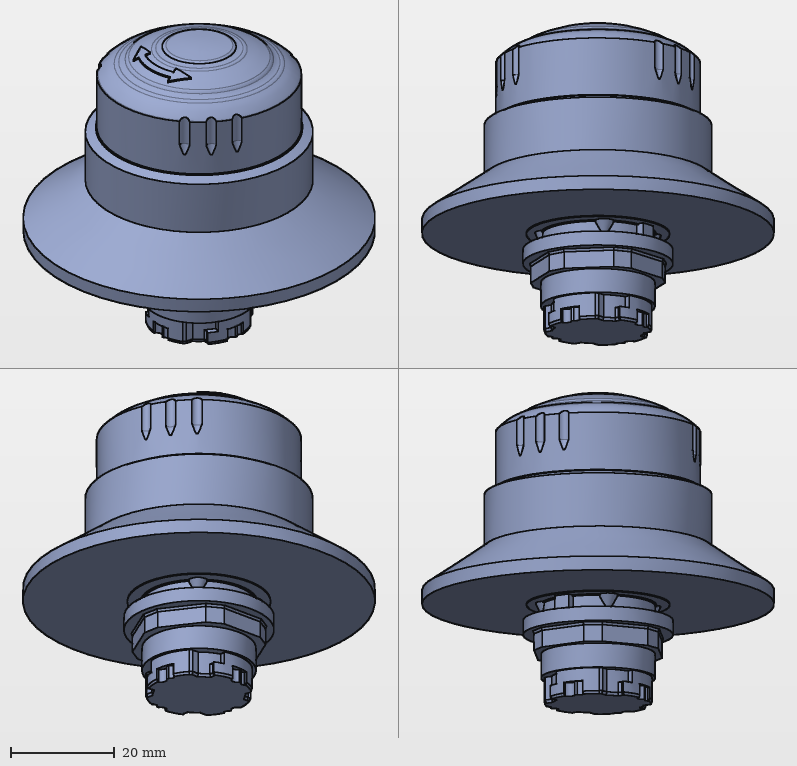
import cadquery as cq
import math

total_height = 60.4

body_radius = 11.0
socket_radius = 20.9 / 2
socket_top = 5.1
socket_chamfer_width = 0.2
socket_chamfer_height = 0.55

nut_bottom = 9.8
nut_flare_bottom = 13.05
washer_bottom = 13.6
washer_top = 16.4
washer_radius = 14.5
nut_half_flats = 12.05
nut_half_corners = 12.85
nut_flare = 0.2

rim_bottom = 19.25
rim_radius = 11.3
pad_bottom = 19.45
pad_radius = 27.7 / 2

skirt_bottom = 19.65
skirt_edge_top = 22.4
skirt_radius = 34.0
collar_radius = 44.0 / 2
collar_bottom = 30.7
collar_edge_top = 41.15
collar_top = 42.0
collar_inner_radius = 20.0
collar_lip_top = 42.2

cap_radius = 39.6 / 2
cap_top = 53.5
crown_edge = (19.6, 53.65)
outer_step_start = (16.45, 55.95)
outer_step_rim = (15.6, 56.3)
outer_step_foot = (14.35, 56.9)
outer_step_end = (13.7, 57.45)
inner_step_start = (9.25, 59.15)
inner_step_rim = (8.4, 59.35)
inner_step_foot = (7.15, 59.65)
inner_step_end = (6.45, 60.0)
crown_bulge = 0.2
dome_radius = 32.3
edge_bulge = 0.055

grip_radius = 1.1
grip_center_radius = 20.2
grip_bottom = 48.5
grip_tip = 45.0
grip_group_angles = (90, 210, 330)
grip_pitch = 15

arrow_raise = 0.3
arrow_shaft_inner = 10.6
arrow_shaft_outer = 11.9
arrow_head_inner = 9.6
arrow_head_outer = 13.0
arrow_tip_radius = 11.35
arrow_base_angle = 25.2
arrow_tip_angle = 45.6

lug_count = 4
lug_start_angle = 45
lug_axis_radius = 10.2
lug_tip_radius = 0.8
lug_top_radius = 2.05
lug_bottom = 16.7
key_width = 3.25
key_reach = 12.4

quarter_turns = (0, 90, 180, 270)
slot_floor_radius = 9.1
slot_lead_wall = -6.45
slot_lead_bevel = (-7.9, slot_lead_wall)
slot_lead_mouth = (-9.0, -5.8)
slot_stop_wall = -4.6
slot_stop_bevel = (slot_stop_wall, -8.7)
slot_stop_mouth = (-5.4, -10.35)
slot_end_angle = 16.2
slot_reach = 12.9
slot_reach_angle = -30.6
slot_flare_width = 0.2
slot_flare_height = 0.6
slot_step_height = 2.65
key_hole_floor_radius = 10.0
key_hole_angles = (-4.9, 17.8)
key_hole_grooves = ((1.4, 1.15), (13.8, 0.75))


def polar(radius, angle):
    """Point at an angle measured from -Y, counter-clockwise seen from above."""
    turn = math.radians(angle - 90)
    return (radius * math.cos(turn), radius * math.sin(turn))


def bulged_point(start, end, bulge):
    """Midpoint of a chord pushed to its outer side (right of travel when positive)."""
    run = end[0] - start[0]
    rise = end[1] - start[1]
    chord = math.hypot(run, rise)
    return (
        (start[0] + end[0]) / 2 + bulge * rise / chord,
        (start[1] + end[1]) / 2 - bulge * run / chord,
    )


def make_turned_body():
    dome_rise = dome_radius - math.sqrt(
        dome_radius**2 - (math.dist(outer_step_end, inner_step_start) / 2) ** 2
    )
    profile = (
        cq.Workplane("XZ")
        .lineTo(socket_radius - socket_chamfer_width, 0)
        .lineTo(socket_radius, socket_chamfer_height)
        .lineTo(socket_radius, socket_top)
        .lineTo(body_radius, socket_top)
        .lineTo(body_radius, washer_bottom)
        .lineTo(washer_radius, washer_bottom)
        .lineTo(washer_radius, washer_top)
        .lineTo(body_radius, washer_top)
        .lineTo(body_radius, rim_bottom)
        .lineTo(rim_radius, rim_bottom)
        .lineTo(rim_radius, pad_bottom)
        .lineTo(pad_radius, pad_bottom)
        .lineTo(pad_radius, skirt_bottom)
        .lineTo(skirt_radius, skirt_bottom)
        .lineTo(skirt_radius, skirt_edge_top)
        .lineTo(collar_radius, collar_bottom)
        .lineTo(collar_radius, collar_edge_top)
        .lineTo(collar_inner_radius, collar_top)
        .lineTo(cap_radius, collar_lip_top)
        .lineTo(cap_radius, cap_top)
        .lineTo(*crown_edge)
    )
    bands = (
        (outer_step_start, crown_bulge),
        (outer_step_rim, edge_bulge),
        (outer_step_foot, -edge_bulge),
        (outer_step_end, edge_bulge),
        (inner_step_start, dome_rise),
        (inner_step_rim, edge_bulge),
        (inner_step_foot, -edge_bulge),
        (inner_step_end, edge_bulge),
    )
    start = crown_edge
    for end, bulge in bands:
        profile = profile.threePointArc(bulged_point(start, end, bulge), end)
        start = end
    sagitta = total_height - inner_step_end[1]
    sphere = (inner_step_end[0] ** 2 + sagitta**2) / (2 * sagitta)
    middle = inner_step_end[0] / 2
    middle_height = total_height - sphere + math.sqrt(sphere**2 - middle**2)
    profile = profile.threePointArc((middle, middle_height), (0, total_height))
    return profile.close().revolve(360, (0, 0, 0), (0, 1, 0))


def nut_prism(bottom, top, taper=0):
    """Hexagon with flats facing Y and its six corners cut flat."""
    corner_radius = nut_half_flats / math.cos(math.radians(30))
    half_cut = (corner_radius - nut_half_corners) * math.tan(math.radians(60))
    points = []
    for index in range(6):
        turn = math.radians(60 * index)
        for side in (-half_cut, half_cut):
            points.append((
                nut_half_corners * math.cos(turn) - side * math.sin(turn),
                nut_half_corners * math.sin(turn) + side * math.cos(turn),
            ))
    base = cq.Workplane("XY", origin=(0, 0, bottom))
    return base.polyline(points).close().extrude(top - bottom, taper=taper)


def make_nut():
    flare_height = washer_bottom - nut_flare_bottom
    flare_taper = -math.degrees(math.atan(nut_flare / flare_height))
    straight = nut_prism(nut_bottom, nut_flare_bottom)
    flare = nut_prism(nut_flare_bottom, washer_bottom, flare_taper)
    return straight.union(flare)


def make_lugs():
    lug = cq.Solid.makeCone(lug_tip_radius, lug_top_radius, pad_bottom - lug_bottom)
    lugs = cq.Workplane("XY")
    for index in range(lug_count):
        x, y = polar(lug_axis_radius, lug_start_angle + index * 360 / lug_count)
        lugs = lugs.add(lug.translate(cq.Vector(x, y, lug_bottom)))
    return lugs.combine()


def make_key():
    base = cq.Workplane("XY", origin=(0, 0, lug_bottom)).center(0, key_reach / 2)
    return base.rect(key_width, key_reach).extrude(pad_bottom - lug_bottom)


def make_grips():
    groove = cq.Solid.makeCylinder(grip_radius, total_height - grip_bottom, cq.Vector(0, 0, grip_bottom))
    tip = cq.Solid.makeCone(0, grip_radius, grip_bottom - grip_tip, cq.Vector(0, 0, grip_tip))
    grip = groove.fuse(tip).translate(cq.Vector(grip_center_radius, 0, 0))
    grips = cq.Workplane("XY")
    for group in grip_group_angles:
        for step in (-1, 0, 1):
            grips = grips.add(grip.rotate(cq.Vector(), cq.Vector(0, 0, 1), group + step * grip_pitch))
    return grips.combine()


def make_arrow():
    base = arrow_base_angle
    tip = arrow_tip_angle
    outline = (
        cq.Workplane("XY", origin=(0, 0, cap_top))
        .moveTo(*polar(arrow_shaft_inner, -base))
        .threePointArc(polar(arrow_shaft_inner, 0), polar(arrow_shaft_inner, base))
        .lineTo(*polar(arrow_head_inner, base))
        .lineTo(*polar(arrow_tip_radius, tip))
        .lineTo(*polar(arrow_head_outer, base))
        .lineTo(*polar(arrow_shaft_outer, base))
        .threePointArc(polar(arrow_shaft_outer, 0), polar(arrow_shaft_outer, -base))
        .lineTo(*polar(arrow_head_outer, -base))
        .lineTo(*polar(arrow_tip_radius, -tip))
        .lineTo(*polar(arrow_head_inner, -base))
        .close()
        .extrude(total_height - cap_top)
    )
    edge_radius, edge_height = inner_step_start
    center_height = edge_height - math.sqrt(dome_radius**2 - edge_radius**2)
    dome = cq.Workplane("XY", origin=(0, 0, center_height)).sphere(dome_radius + arrow_raise)
    return outline.intersect(dome)


def sector(start_angle, end_angle, inner, outer, height):
    middle = (start_angle + end_angle) / 2
    return (
        cq.Workplane("XY")
        .moveTo(*polar(inner, start_angle))
        .lineTo(*polar(outer, start_angle))
        .threePointArc(polar(outer, middle), polar(outer, end_angle))
        .lineTo(*polar(inner, end_angle))
        .threePointArc(polar(inner, middle), polar(inner, start_angle))
        .close()
        .extrude(height)
    )


def slot_outline(height, floor_end, mouth_points):
    """Closed slot outline: curved floor from the leading wall, then out to the mouth."""
    floor_start = (-math.sqrt(slot_floor_radius**2 - slot_lead_wall**2), slot_lead_wall)
    span = math.dist(floor_start, floor_end)
    sagitta = slot_floor_radius - math.sqrt(slot_floor_radius**2 - (span / 2) ** 2)
    outline = (
        cq.Workplane("XY", origin=(0, 0, height))
        .moveTo(*floor_start)
        .threePointArc(bulged_point(floor_start, floor_end, sagitta), floor_end)
    )
    for point in mouth_points:
        outline = outline.lineTo(*point)
    return outline.lineTo(*slot_lead_mouth).lineTo(*slot_lead_bevel).close()


def make_bayonet_slot():
    """Slot open at the bottom, with a wider chamber above the step."""
    corner = polar(slot_reach, slot_reach_angle)
    stop_floor = (slot_stop_wall, -math.sqrt(slot_floor_radius**2 - slot_stop_wall**2))
    stop_mouth = (slot_stop_bevel, slot_stop_mouth, corner)
    end_mouth = (polar(body_radius, -slot_end_angle), corner)
    lower = slot_outline(0, stop_floor, stop_mouth).extrude(slot_step_height)
    end_floor = polar(slot_floor_radius, -slot_end_angle)
    upper = slot_outline(slot_step_height, end_floor, end_mouth).extrude(socket_top - slot_step_height)
    flare_taper = math.degrees(math.atan(slot_flare_width / slot_flare_height))
    flare = (
        slot_outline(0, stop_floor, stop_mouth)
        .offset2D(slot_flare_width, "intersection")
        .extrude(slot_flare_height, taper=flare_taper)
    )
    return lower.union(upper).union(flare)


def make_socket_cuts():
    cuts = make_bayonet_slot()
    cuts = cuts.union(sector(*key_hole_angles, key_hole_floor_radius, body_radius, slot_step_height))
    for angle, radius in key_hole_grooves:
        x, y = polar(socket_radius, angle)
        cuts = cuts.union(cq.Workplane("XY").center(x, y).circle(radius).extrude(slot_step_height))
    return cuts


result = make_turned_body().union(make_nut()).union(make_lugs()).union(make_key()).union(make_arrow())
result = result.cut(make_grips())
socket_cuts = make_socket_cuts()
for turn in quarter_turns:
    result = result.cut(socket_cuts.rotate((0, 0, 0), (0, 0, 1), turn))